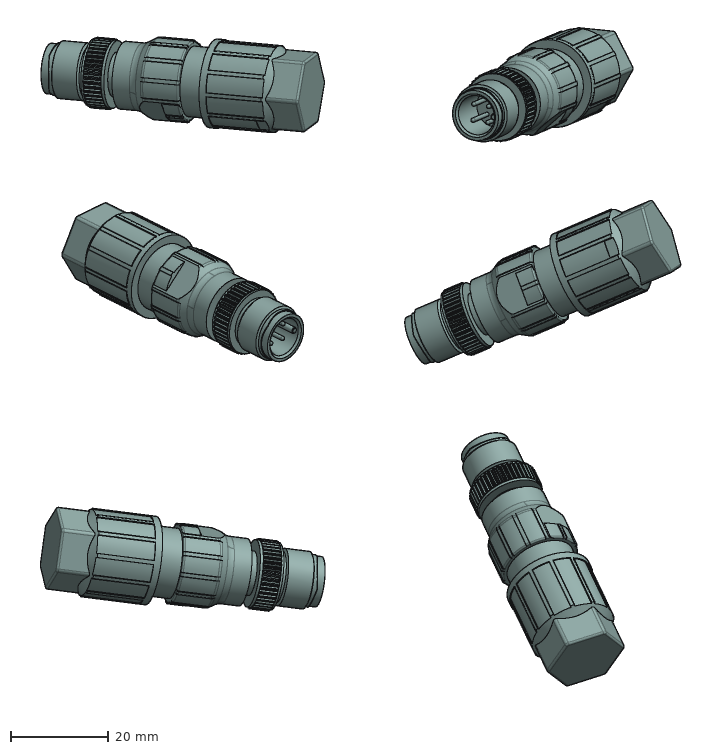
import cadquery as cq
import math

FULL_TURN = 360.0
total_length = 57.2

thread_start_x = 2.4
thread_end_x = 8.35
collar_start_x = 9.3
collar_end_x = 14.35
shell_start_x = 16.15
grip_end_x = 31.05
nut_start_x = 35.85

tip_radius = 5.25
ring_radius = 5.5
ring_start_x = 1.3
scallop_depth = 0.4
thread_radius = 6.0
thread_lead_in = 0.25
thread_runout = 0.35
neck_radius = 5.4

bore_radius = 4.1
bore_depth = 9.15
bore_chamfer = 0.45
coding_twist = 3.0
pin_count = 4
pin_radius = 0.45
pin_circle_radius = 2.4
pin_tip_x = 2.1
key_radius = 0.7
key_offset = 3.65
key_start_x = 1.05
key_chamfer = 0.2
key_angle = 90.0 + coding_twist
first_pin_angle = 45.0 + coding_twist

collar_radius = 7.05
knurl_radius = 7.3
knurl_start_x = 9.85
knurl_end_x = 13.7
knurl_teeth = 44
waist_radius = 4.65

shell_radius = collar_radius
flare_start_x = 19.9
flare_angle = 30.0
flare_blend_length = 0.8
grip_blend_length = 0.3
grip_radius = 8.6
grip_panel_radius = 8.35
grip_edge_round = 0.35
rear_shell_radius = 7.3
rib_count = 12
rib_pitch = FULL_TURN / rib_count
first_rib_angle = rib_pitch / 2 + coding_twist
rib_start_x = 22.3
rib_width = 0.85

flat_offset = 7.55
flat_angles = (135.0 + coding_twist, 315.0 + coding_twist)
lug_foot_x = 27.1
lug_slope_length = 0.35

nut_radius = 9.2
nut_panel_depth = 0.25
nut_panel_start_x = 37.35
nut_cone_x = 49.4
nut_cone_end_radius = 4.6
hex_sides = 6
hex_flat_distance = 7.5
hex_corner_round = 0.85
hex_end_round = 0.45

marker_start_x = 47.65
marker_offset = 8.75
marker_width = 3.65
marker_angle = 135.0


def turned(profile):
    """Revolve a closed (x, radius) profile around the X axis."""
    return profile.close().revolve(FULL_TURN, (0, 0, 0), (1, 0, 0))


def rod(start_x, end_x, radius):
    return cq.Workplane("YZ", origin=(start_x, 0, 0)).circle(radius).extrude(end_x - start_x)


def around_axis(shape, angle):
    return shape.rotate((0, 0, 0), (1, 0, 0), angle)


def radial_bars(start_x, end_x, first_angle):
    """Bars one rib wide reaching outward from the axis at every rib position."""
    length = end_x - start_x
    bar = cq.Workplane("XY").box(length, rib_width, nut_radius * 2, centered=(False, True, False))
    bar = bar.translate((start_x, 0, 0))
    bars = cq.Workplane("XY")
    for index in range(rib_count):
        bars = bars.add(around_axis(bar, first_angle + index * rib_pitch))
    return bars.combine()


def make_plug():
    sleeve = turned(
        cq.Workplane("XY")
        .moveTo(0, 0)
        .lineTo(0, tip_radius)
        .lineTo(thread_start_x, tip_radius)
        .lineTo(thread_start_x, ring_radius)
        .lineTo(thread_start_x + thread_lead_in, thread_radius)
        .lineTo(thread_end_x - thread_runout, thread_radius)
        .lineTo(thread_end_x, neck_radius)
        .lineTo(collar_start_x, neck_radius)
        .lineTo(collar_start_x, 0)
    )
    ring = rod(ring_start_x, thread_start_x, ring_radius)
    half_chord = ring_radius / math.sqrt(2)
    scallop_radius = (half_chord**2 + scallop_depth**2) / (2 * scallop_depth)
    center_x = ring_start_x + scallop_depth - scallop_radius
    for plane in ("XZ", "XY"):
        cutter = cq.Workplane(plane).center(center_x, 0).circle(scallop_radius)
        ring = ring.cut(cutter.extrude(ring_radius, both=True))
    return sleeve.union(ring)


def make_socket():
    mouth_radius = bore_radius + bore_chamfer
    return turned(
        cq.Workplane("XY")
        .moveTo(0, 0)
        .lineTo(0, mouth_radius)
        .lineTo(bore_chamfer, bore_radius)
        .lineTo(bore_depth, bore_radius)
        .lineTo(bore_depth, 0)
    )


def make_contacts():
    """Round-nosed pins and the coding key standing on the socket floor."""
    pin = rod(pin_tip_x + pin_radius, collar_end_x, pin_radius)
    nose = cq.Workplane("XY").sphere(pin_radius).translate((pin_tip_x + pin_radius, 0, 0))
    pin = pin.union(nose).translate((0, 0, pin_circle_radius))
    key = rod(key_start_x, collar_end_x, key_radius).faces("<X").chamfer(key_chamfer)
    key = key.translate((0, 0, key_offset))
    key = key.intersect(rod(0, collar_end_x, bore_radius + bore_chamfer / 2))
    contacts = around_axis(key, key_angle)
    for index in range(pin_count):
        contacts = contacts.union(around_axis(pin, first_pin_angle + index * FULL_TURN / pin_count))
    return contacts


def make_collar():
    pitch_angle = 2 * math.pi / knurl_teeth
    flank_angle = (knurl_radius - collar_radius) / knurl_radius
    half_flat = (pitch_angle / 2 - flank_angle) / 2
    points = []
    for index in range(knurl_teeth):
        tip = index * pitch_angle
        valley = tip + pitch_angle / 2
        for radius, middle in ((knurl_radius, tip), (collar_radius, valley)):
            for angle in (middle - half_flat, middle + half_flat):
                points.append((radius * math.cos(angle), radius * math.sin(angle)))
    knurl = cq.Workplane("YZ", origin=(knurl_start_x, 0, 0)).polyline(points).close()
    knurl = knurl.extrude(knurl_end_x - knurl_start_x)
    front_rim = rod(collar_start_x, knurl_start_x, collar_radius)
    rear_rim = rod(knurl_end_x, collar_end_x, collar_radius)
    waist = rod(collar_end_x, shell_start_x, waist_radius)
    return front_rim.union(knurl).union(rear_rim).union(waist)


def flared_shell(outer_radius):
    """Shell whose front flares along a cone up to the given grip radius."""
    slope = math.radians(flare_angle)
    cone_foot_x = flare_start_x + flare_blend_length
    foot_end_x = cone_foot_x + flare_blend_length * math.cos(slope)
    foot_end_radius = shell_radius + flare_blend_length * math.sin(slope)
    crest_x = cone_foot_x + (outer_radius - shell_radius) / math.tan(slope)
    crest_start_x = crest_x - grip_blend_length * math.cos(slope)
    crest_start_radius = outer_radius - grip_blend_length * math.sin(slope)
    corner = grip_edge_round
    return turned(
        cq.Workplane("XY")
        .moveTo(shell_start_x, 0)
        .lineTo(shell_start_x, shell_radius)
        .lineTo(flare_start_x, shell_radius)
        .tangentArcPoint((foot_end_x, foot_end_radius), relative=False)
        .lineTo(crest_start_x, crest_start_radius)
        .tangentArcPoint((crest_x + grip_blend_length, outer_radius), relative=False)
        .lineTo(grip_end_x - corner, outer_radius)
        .tangentArcPoint((grip_end_x, outer_radius - corner), relative=False)
        .lineTo(grip_end_x, 0)
    )


def make_grip():
    ribs = flared_shell(grip_radius)
    ribs = ribs.intersect(radial_bars(rib_start_x, grip_end_x, first_rib_angle))
    ribbed = flared_shell(grip_panel_radius).union(ribs)
    flat_width = 2 * math.sqrt(grip_radius**2 - flat_offset**2)
    lug_width = 2 * math.sqrt(grip_panel_radius**2 - flat_offset**2)
    grip_length = grip_end_x - shell_start_x
    block = cq.Workplane("XY").box(grip_length, 2 * nut_radius, nut_radius, centered=(False, True, False))
    cutter = block.translate((shell_start_x, 0, flat_offset))
    pad_window = cq.Workplane("XY").box(grip_length, flat_width, flat_offset, centered=(False, True, False))
    pad_window = pad_window.translate((shell_start_x, 0, 0))
    lug_window = (
        cq.Workplane("XZ")
        .moveTo(lug_foot_x, 0)
        .lineTo(lug_foot_x, flat_offset)
        .lineTo(lug_foot_x + lug_slope_length, grip_radius)
        .lineTo(grip_end_x, grip_radius)
        .lineTo(grip_end_x, 0)
        .close()
        .extrude(lug_width / 2, both=True)
    )
    grip = ribbed
    for angle in flat_angles:
        pad = flared_shell(grip_radius).intersect(around_axis(pad_window, angle))
        lug = ribbed.intersect(around_axis(lug_window, angle))
        grip = grip.cut(around_axis(cutter, angle)).union(pad).union(lug)
    return grip.union(rod(grip_end_x, nut_start_x, rear_shell_radius))


def make_nut():
    cone_end_x = nut_cone_x + nut_radius - nut_cone_end_radius
    nut = turned(
        cq.Workplane("XY")
        .moveTo(nut_start_x, 0)
        .lineTo(nut_start_x, nut_radius)
        .lineTo(nut_cone_x, nut_radius)
        .lineTo(cone_end_x, nut_cone_end_radius)
        .lineTo(cone_end_x, 0)
    )
    panels = rod(nut_panel_start_x, cone_end_x, nut_radius)
    panels = panels.cut(rod(nut_panel_start_x, cone_end_x, nut_radius - nut_panel_depth))
    panels = panels.cut(radial_bars(nut_panel_start_x, cone_end_x, 0))
    marker = cq.Workplane("XY").box(
        cone_end_x - marker_start_x, marker_width, nut_radius, centered=(False, True, False)
    )
    marker = marker.translate((marker_start_x, 0, marker_offset))
    return nut.cut(panels).cut(around_axis(marker, marker_angle))


def make_hexagon():
    across_corners = 2 * hex_flat_distance / math.cos(math.pi / hex_sides)
    hexagon = (
        cq.Workplane("YZ", origin=(nut_cone_x, 0, 0))
        .polygon(hex_sides, across_corners)
        .extrude(total_length - nut_cone_x)
        .edges("|X")
        .fillet(hex_corner_round)
    )
    return hexagon.faces(">X").edges().fillet(hex_end_round)


result = make_plug().union(make_collar()).cut(make_socket()).union(make_contacts())
result = result.union(make_grip()).union(make_nut()).union(make_hexagon())